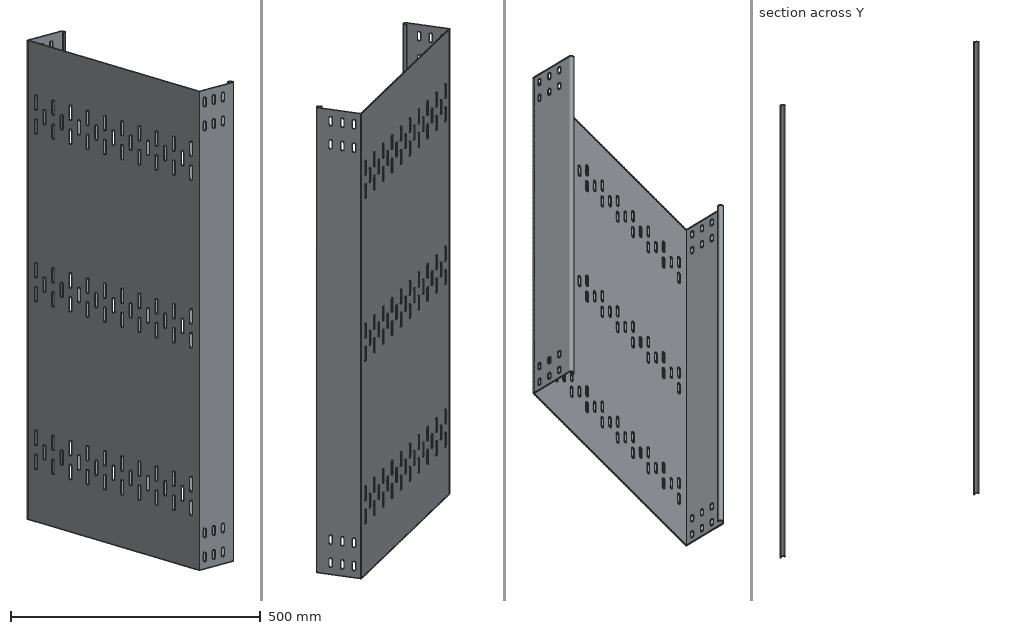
import cadquery as cq

LENGTH = 1000.0
WIDTH = 500.0
DEPTH = 98.0
SHEET = 2.0

CURL_RADIUS = 6.0
LIP_RETURN = 3.0

WEB_SLOT_LENGTH = 32.0
WEB_SLOT_WIDTH = 7.0
WEB_SLOT_PITCH = 50.0
WEB_ROW_SPACING = 25.0
WEB_BAND_SPACING = 350.0
OUTER_ROW_COUNT = 10
STAGGERED_ROW_COUNT = OUTER_ROW_COUNT - 1

FLANGE_SLOT_LENGTH = 20.0
FLANGE_SLOT_WIDTH = 7.0
FLANGE_COLUMN_COUNT = 3
FLANGE_COLUMN_PITCH = 25.0
FIRST_COLUMN_Y = 16.0
FLANGE_ROW_PITCH = 50.0
END_ROW_INSET = 25.0

VERTICAL = 90


def make_side():
    """Left half of the channel: half the web, the flange and its curled lip."""
    outer_x = -WIDTH / 2
    inner_x = outer_x + SHEET
    lip_outer_x = outer_x + 2 * CURL_RADIUS
    lip_inner_x = lip_outer_x - SHEET
    curl_x = outer_x + CURL_RADIUS
    curl_y = DEPTH - CURL_RADIUS
    lip_end_y = curl_y - LIP_RETURN
    return (
        cq.Workplane("XY")
        .workplane(offset=-LENGTH / 2)
        .moveTo(0, 0)
        .lineTo(outer_x, 0)
        .lineTo(outer_x, curl_y)
        .threePointArc((curl_x, DEPTH), (lip_outer_x, curl_y))
        .lineTo(lip_outer_x, lip_end_y)
        .lineTo(lip_inner_x, lip_end_y)
        .lineTo(lip_inner_x, curl_y)
        .threePointArc((curl_x, DEPTH - SHEET), (inner_x, curl_y))
        .lineTo(inner_x, SHEET)
        .lineTo(0, SHEET)
        .close()
        .extrude(LENGTH)
    )


def centered_row(count, pitch):
    """Positions of evenly spaced items centred on zero."""
    return [(i - (count - 1) / 2) * pitch for i in range(count)]


def web_slots():
    """Cutters for the three slot bands, passing through the web only."""
    outer_xs = centered_row(OUTER_ROW_COUNT, WEB_SLOT_PITCH)
    staggered_xs = centered_row(STAGGERED_ROW_COUNT, WEB_SLOT_PITCH)
    points = []
    for band_z in (-WEB_BAND_SPACING, 0, WEB_BAND_SPACING):
        points += [(x, band_z - WEB_ROW_SPACING) for x in outer_xs]
        points += [(x, band_z) for x in staggered_xs]
        points += [(x, band_z + WEB_ROW_SPACING) for x in outer_xs]
    return (
        cq.Workplane("XZ")
        .pushPoints(points)
        .slot2D(WEB_SLOT_LENGTH, WEB_SLOT_WIDTH, VERTICAL)
        .extrude(SHEET, both=True)
    )


def flange_slots():
    """Cutters for the end groups, passing through both flanges."""
    end_row_z = LENGTH / 2 - END_ROW_INSET
    inner_row_z = end_row_z - FLANGE_ROW_PITCH
    column_ys = [FIRST_COLUMN_Y + i * FLANGE_COLUMN_PITCH for i in range(FLANGE_COLUMN_COUNT)]
    row_zs = (-end_row_z, -inner_row_z, inner_row_z, end_row_z)
    return (
        cq.Workplane("YZ")
        .pushPoints([(y, z) for y in column_ys for z in row_zs])
        .slot2D(FLANGE_SLOT_LENGTH, FLANGE_SLOT_WIDTH, VERTICAL)
        .extrude(WIDTH, both=True)
    )


left_side = make_side()
channel = left_side.union(left_side.mirror("YZ")).clean()
result = channel.cut(web_slots()).cut(flange_slots())